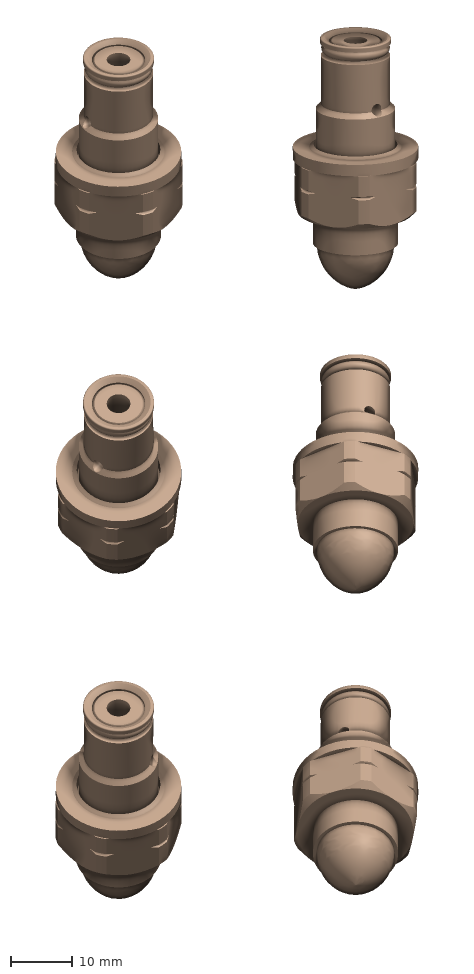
import cadquery as cq
import math

TOTAL_HEIGHT = 43.15
NUT_BOTTOM_Z = 7.9
HEX_BOTTOM_Z = 13.25
HEX_GROOVE_Z = 18.7
FLANGE_BOTTOM_Z = 22.5
FLANGE_TOP_Z = 24.42
COLLAR_TOP_Z = 24.8
SHOULDER_BOTTOM_Z = 31.02
SHOULDER_TOP_Z = 31.85
CROSS_HOLE_Z = 32.1
SPIGOT_TOP_Z = 40.15
RIM_BOTTOM_Z = 42.3

FLANGE_DIAMETER = 20.6
HEX_ACROSS_FLATS = 19.0
HEX_CORNER_RADIUS = 10.5
HEX_CHAMFER_HEIGHT = 1.05
HEX_GROOVE_ROOT_RADIUS = 9.95
HEX_GROOVE_HALF_ANGLE = 30.0
SLEEVE_RADIUS = 7.0
COLLAR_BASE_RADIUS = 7.6
COUNTERBORE_RADIUS = 6.85

NOSE_DIAMETER = 12.75
NOSE_RADIUS = NOSE_DIAMETER / 2
SHOULDER_RADIUS = 6.5
SPIGOT_RADIUS = 5.7
RIM_RADIUS = 5.83
RIM_FILLET = 0.2
NECK_RADIUS = 4.6
NECK_FILLET = 0.6
CROSS_HOLE_RADIUS = 1.0

FUNNEL_TOP_RADIUS = 5.25
FUNNEL_BOTTOM_RADIUS = 4.35
FUNNEL_DEPTH = 0.5
CENTRE_RADIUS = 3.95
CENTRE_DEPTH = 0.5
BLIND_HOLE_RADIUS = 1.95
BLIND_HOLE_FLOOR_Z = 30.2

SEAL_BOTTOM_Z = 40.5
SEAL_RING_RADIUS = 4.75
SEAL_SECTION_RADIUS = (RIM_BOTTOM_Z - SEAL_BOTTOM_Z) / 2
SEAL_Z = RIM_BOTTOM_Z - SEAL_SECTION_RADIUS


def revolve_about_z(outline):
    """Turn a closed (radius, height) outline on the XZ plane about the Z axis."""
    return outline.revolve(360, (0, 0, 0), (0, 1, 0))


def turned(points):
    """Solid of revolution about Z from straight-sided (radius, height) points."""
    return revolve_about_z(cq.Workplane("XZ").polyline(points).close())


def nose_arc_midpoint():
    """Middle of the arc that leaves the nose wall vertically and ends at the tip."""
    arc_radius = (NOSE_RADIUS**2 + NUT_BOTTOM_Z**2) / (2 * NOSE_RADIUS)
    half_sweep = math.asin(NUT_BOTTOM_Z / arc_radius) / 2
    radius = NOSE_RADIUS - arc_radius * (1 - math.cos(half_sweep))
    return radius, NUT_BOTTOM_Z - arc_radius * math.sin(half_sweep)


def make_stem():
    centre_z = TOTAL_HEIGHT - CENTRE_DEPTH
    ring_groove_z = centre_z - (FUNNEL_BOTTOM_RADIUS - CENTRE_RADIUS)

    outline = (
        cq.Workplane("XZ")
        .moveTo(0, 0)
        .threePointArc(nose_arc_midpoint(), (NOSE_RADIUS, NUT_BOTTOM_Z))
        .lineTo(NOSE_RADIUS, FLANGE_BOTTOM_Z)
        .lineTo(SHOULDER_RADIUS, FLANGE_BOTTOM_Z)
        .lineTo(SHOULDER_RADIUS, SHOULDER_BOTTOM_Z)
        .lineTo(SPIGOT_RADIUS, SHOULDER_TOP_Z)
        .lineTo(SPIGOT_RADIUS, SPIGOT_TOP_Z)
        .lineTo(NECK_RADIUS + NECK_FILLET, SPIGOT_TOP_Z)
        .radiusArc((NECK_RADIUS, SPIGOT_TOP_Z + NECK_FILLET), NECK_FILLET)
        .lineTo(NECK_RADIUS, RIM_BOTTOM_Z)
        .lineTo(RIM_RADIUS, RIM_BOTTOM_Z)
        .lineTo(RIM_RADIUS, TOTAL_HEIGHT - RIM_FILLET)
        .radiusArc((RIM_RADIUS - RIM_FILLET, TOTAL_HEIGHT), -RIM_FILLET)
        .lineTo(FUNNEL_TOP_RADIUS, TOTAL_HEIGHT)
        .lineTo(FUNNEL_BOTTOM_RADIUS, TOTAL_HEIGHT - FUNNEL_DEPTH)
        .lineTo(FUNNEL_BOTTOM_RADIUS, ring_groove_z)
        .lineTo(CENTRE_RADIUS, centre_z)
        .lineTo(0, centre_z)
        .close()
    )
    blind_hole = (
        cq.Workplane("XY", origin=(0, 0, BLIND_HOLE_FLOOR_Z))
        .circle(BLIND_HOLE_RADIUS)
        .extrude(TOTAL_HEIGHT - BLIND_HOLE_FLOOR_Z)
    )
    cross_hole = (
        cq.Workplane("XZ", origin=(0, 0, CROSS_HOLE_Z))
        .circle(CROSS_HOLE_RADIUS)
        .extrude(SHOULDER_RADIUS, both=True)
    )
    return revolve_about_z(outline).cut(blind_hole).cut(cross_hole)


def make_hexagon():
    """Hexagon with turned corners, a chamfered lower end and a V-groove around the corners."""
    hex_height = FLANGE_BOTTOM_Z - HEX_BOTTOM_Z
    corner_distance = HEX_ACROSS_FLATS / math.cos(math.pi / 6)
    prism = (
        cq.Workplane("XY", origin=(0, 0, HEX_BOTTOM_Z))
        .polygon(6, corner_distance)
        .extrude(hex_height)
    )
    groove_half_width = (HEX_CORNER_RADIUS - HEX_GROOVE_ROOT_RADIUS) * math.tan(
        math.radians(HEX_GROOVE_HALF_ANGLE)
    )
    envelope = turned([
        (0, HEX_BOTTOM_Z),
        (HEX_ACROSS_FLATS / 2, HEX_BOTTOM_Z),
        (HEX_CORNER_RADIUS, HEX_BOTTOM_Z + HEX_CHAMFER_HEIGHT),
        (HEX_CORNER_RADIUS, HEX_GROOVE_Z - groove_half_width),
        (HEX_GROOVE_ROOT_RADIUS, HEX_GROOVE_Z),
        (HEX_CORNER_RADIUS, HEX_GROOVE_Z + groove_half_width),
        (HEX_CORNER_RADIUS, FLANGE_BOTTOM_Z),
        (0, FLANGE_BOTTOM_Z),
    ])
    return prism.intersect(envelope)


def make_nut():
    sleeve = turned([
        (0, NUT_BOTTOM_Z),
        (SLEEVE_RADIUS, NUT_BOTTOM_Z),
        (SLEEVE_RADIUS, HEX_BOTTOM_Z),
        (0, HEX_BOTTOM_Z),
    ])
    flange_and_collar = turned([
        (0, FLANGE_BOTTOM_Z),
        (FLANGE_DIAMETER / 2, FLANGE_BOTTOM_Z),
        (FLANGE_DIAMETER / 2, FLANGE_TOP_Z),
        (COLLAR_BASE_RADIUS, FLANGE_TOP_Z),
        (COUNTERBORE_RADIUS, COLLAR_TOP_Z),
        (0, COLLAR_TOP_Z),
    ])
    stepped_bore = turned([
        (0, NUT_BOTTOM_Z),
        (NOSE_RADIUS, NUT_BOTTOM_Z),
        (NOSE_RADIUS, FLANGE_BOTTOM_Z),
        (COUNTERBORE_RADIUS, FLANGE_BOTTOM_Z),
        (COUNTERBORE_RADIUS, COLLAR_TOP_Z),
        (0, COLLAR_TOP_Z),
    ])
    return make_hexagon().union(sleeve).union(flange_and_collar).cut(stepped_bore)


def make_o_ring():
    """Ring with a round outer side; its inside follows the stem's neck and fillet."""
    height_to_fillet_centre = SPIGOT_TOP_Z + NECK_FILLET - SEAL_BOTTOM_Z
    contact_radius = NECK_RADIUS + NECK_FILLET - math.sqrt(NECK_FILLET**2 - height_to_fillet_centre**2)

    section = (
        cq.Workplane("XZ")
        .moveTo(contact_radius, SEAL_BOTTOM_Z)
        .lineTo(SEAL_RING_RADIUS, SEAL_BOTTOM_Z)
        .threePointArc((SEAL_RING_RADIUS + SEAL_SECTION_RADIUS, SEAL_Z), (SEAL_RING_RADIUS, RIM_BOTTOM_Z))
        .lineTo(NECK_RADIUS, RIM_BOTTOM_Z)
        .lineTo(NECK_RADIUS, SPIGOT_TOP_Z + NECK_FILLET)
        .radiusArc((contact_radius, SEAL_BOTTOM_Z), -NECK_FILLET)
        .close()
    )
    return revolve_about_z(section)


stem = make_stem()
nut = make_nut()
o_ring = make_o_ring()

result = cq.Compound.makeCompound([stem.solids().val(), nut.solids().val(), o_ring.solids().val()])